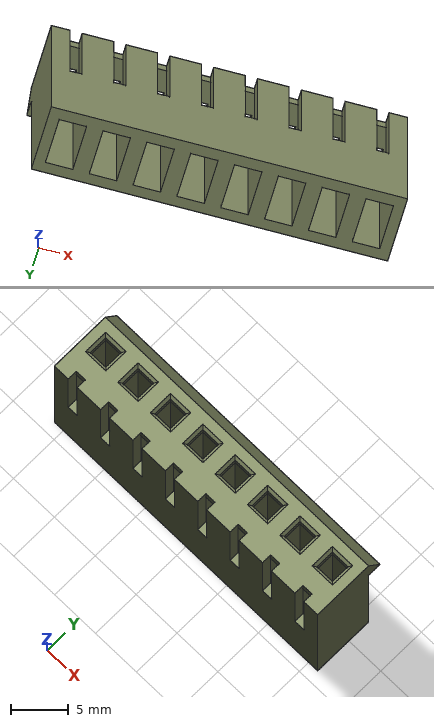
import cadquery as cq

length = 32.2
height = 16.0
body_depth = 6.28

total_depth = 7.7
ramp_height = 2.7

position_count = 8
pitch = 3.95

front_wall = 1.0
rear_wall = 0.95
roof = 1.0
cavity_width = 2.48
cavity_back = body_depth - rear_wall

lead_in = 0.3
entry_mouth = cavity_width
entry_throat = entry_mouth - 2 * lead_in
entry_y = cavity_back - entry_mouth / 2

slot_width = 1.1
slot_length = height / 2

first_x = (length - (position_count - 1) * pitch) / 2
positions = [first_x + i * pitch for i in range(position_count)]


def make_body():
    """Block and locking ramp, drawn as one YZ profile and extruded along X."""
    profile = [
        (0, 0),
        (body_depth, 0),
        (body_depth, height - ramp_height),
        (total_depth, height - ramp_height),
        (body_depth, height),
        (0, height),
    ]
    return cq.Workplane("YZ").polyline(profile).close().extrude(length)


def centred_box(x, width, y_range, z_range):
    """Box of the given width centred on x, spanning the given Y and Z ranges."""
    y_min, y_max = y_range
    z_min, z_max = z_range
    return (
        cq.Workplane("XY")
        .box(width, y_max - y_min, z_max - z_min, centered=(True, False, False))
        .translate((x, y_min, z_min))
    )


def make_cavity(x):
    return centred_box(x, cavity_width, (front_wall, cavity_back), (0, height - roof))


def make_pin_entry(x):
    """Straight square throat topped by a square funnel that widens upwards."""
    half = entry_throat / 2
    throat = centred_box(x, entry_throat, (entry_y - half, entry_y + half), (height - roof, height))
    funnel = (
        cq.Workplane("XY", origin=(x, entry_y, height - lead_in))
        .rect(entry_throat, entry_throat)
        .workplane(offset=lead_in)
        .rect(entry_mouth, entry_mouth)
        .loft(ruled=True)
    )
    return throat.union(funnel)


def make_slot(x):
    return centred_box(x, slot_width, (0, front_wall), (height - slot_length, height))


result = make_body()
for x in positions:
    result = result.cut(make_cavity(x))
    result = result.cut(make_pin_entry(x))
    result = result.cut(make_slot(x))